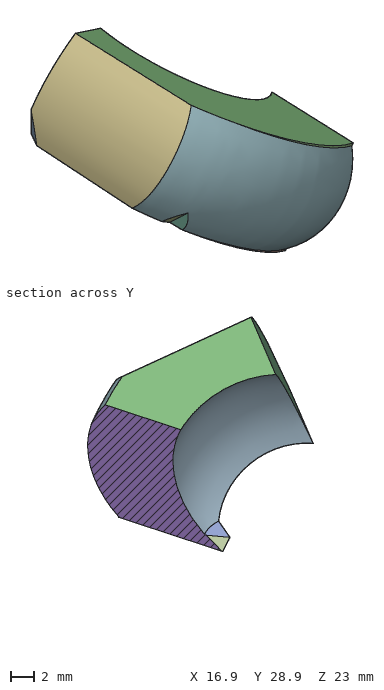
import cadquery as cq
import math

tilt = 29.5

bore_radius = 10.23

top_height = 3.65
top_slope = 1.1
bottom_height = -7.25
bottom_slope = -0.8

quarter_angle = -45
near_end_setback = 3.85
far_end_setback = 3.52

barrel_x = -2.98
barrel_y = -0.15
barrel_top_radius = 19.75
barrel_waist_radius = 21.5
barrel_bottom_radius = 19.07
waist_height = -1.88

flank_top = 14.68
flank_waist = 15.9
flank_bottom = 14.1

corner_point = (12.68, -near_end_setback, -6.45)
corner_direction = (8.4, -12.0, -11.0)
corner_cutter_size = 5.78

tooth_points = [(7.5, 1.0, -7.65), (4.77, 2.95, -7.65), (5.05, 6.07, -7.65), (7.37, 4.2, -5.92)]
nick_points = [(16.9, -3.32, -7.65), (14.88, -0.17, -7.65), (17.05, 3.03, -7.65), (17.62, -0.3, -5.2)]

reach = 34.67
overrun = 0.87


def wedge():
    """Space between the sloping top and bottom faces."""
    top_rise = reach * math.tan(math.radians(top_slope))
    bottom_rise = reach * math.tan(math.radians(bottom_slope))
    outline = [
        (-reach, bottom_height - bottom_rise),
        (reach, bottom_height + bottom_rise),
        (reach, top_height + top_rise),
        (-reach, top_height - top_rise),
    ]
    return cq.Workplane("YZ").polyline(outline).close().extrude(reach, both=True)


def crowned_profile(inner, top, waist, bottom):
    """Section from an inner line out to a crowned side, a little taller than the wedge."""
    return (
        cq.Workplane("XZ")
        .moveTo(inner, bottom_height - overrun)
        .lineTo(bottom, bottom_height - overrun)
        .lineTo(bottom, bottom_height)
        .threePointArc((waist, waist_height), (top, top_height))
        .lineTo(top, top_height + overrun)
        .lineTo(inner, top_height + overrun)
        .close()
    )


def barrel():
    """Crowned outer body of revolution."""
    profile = crowned_profile(0, barrel_top_radius, barrel_waist_radius, barrel_bottom_radius)
    return profile.revolve(360, (0, 0, 0), (0, 1, 0)).translate((barrel_x, barrel_y, 0))


def quarter():
    """Straight block holding both end faces and the crowned flank."""
    profile = crowned_profile(-far_end_setback, flank_top, flank_waist, flank_bottom)
    block = profile.extrude(-reach).translate((0, -near_end_setback, 0))
    return block.rotate((0, 0, 0), (0, 0, 1), quarter_angle)


def corner_cutter():
    """Block whose face slices off the low corner between the near end and the flank."""
    plane = cq.Plane(origin=corner_point, normal=corner_direction)
    cutter = cq.Workplane(plane).circle(corner_cutter_size).extrude(corner_cutter_size)
    return cutter.rotate((0, 0, 0), (0, 0, 1), quarter_angle)


def tetrahedron(points):
    """Solid with one triangular face opposite each of the four points."""
    faces = []
    for skipped in points:
        corners = [cq.Vector(*point) for point in points if point != skipped]
        faces.append(cq.Face.makeFromWires(cq.Wire.makePolygon(corners, close=True)))
    return cq.Workplane(cq.Solid.makeSolid(cq.Shell.makeShell(faces)))


ring = barrel().intersect(quarter()).cut(corner_cutter())
socket = ring.cut(cq.Workplane("XY").sphere(bore_radius))
socket = socket.union(tetrahedron(tooth_points)).cut(tetrahedron(nick_points))
result = socket.intersect(wedge()).rotate((0, 0, 0), (1, 0, 0), -tilt)